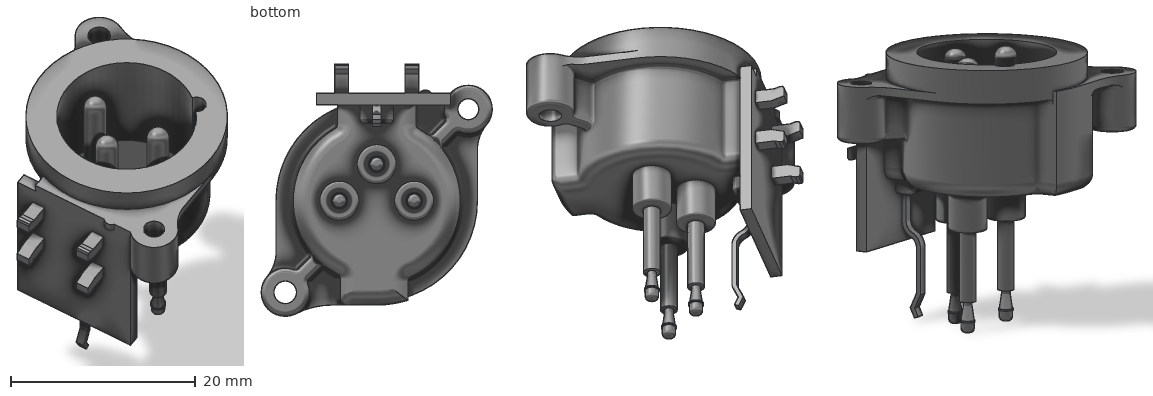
import cadquery as cq
import math


TOTAL_HEIGHT = 30.2
COLLAR_TOP = 2.75
FLANGE_BOTTOM = -0.95
EAR_BOTTOM = -6.28
BODY_BOTTOM = -11.78
PIN_BOTTOM = COLLAR_TOP - TOTAL_HEIGHT

COLLAR_RADIUS = 10.9
BODY_RADIUS = 9.03
BODY_EDGE_RADIUS = 1.57
SOCKET_RADIUS = 7.55
FLOOR_THICKNESS = BODY_RADIUS - SOCKET_RADIUS
KEYWAY_RADIUS = 1.03
KEYWAY_OFFSET = 5.47

EAR_OFFSET = 9.9
EAR_RADIUS = 2.6
REAR_HOLE_RADIUS = 1.2
FRONT_HOLE_RADIUS = 1.12
FLANGE_REAR = 11.3
FLANGE_REAR_END = 3.38
FLANGE_FRONT = -11.65
FLANGE_FRONT_START = -4.23
SIDE_BLEND_RADIUS = 4.17
REAR_BLEND_RADIUS = 8.35
SMALL_FILLET = 0.5
NUB_RADIUS = 0.8
NUB_CENTRE = (5.25, -11.2)

WEB_WIDTH = 1.57
WEB_INNER_REACH = 8.15

REAR_PAD_START = -3.93
PAD_EDGE_RADIUS = 0.72
PAD_SIDES = [
    (REAR_PAD_START, 1),
    (FLANGE_REAR_END, 1),
    (FLANGE_FRONT_START, -1),
    (-FLANGE_FRONT_START, -1),
]

PLATE_LEFT = -6.52
PLATE_RIGHT = 8.0
PLATE_BACK = -10.4
PLATE_BOTTOM = -18.97
PEG_SPACING = 7.6
PEG_WIDTH = 1.5
PEG_TIP = -14.8
PEG_TOP = -3.0
PEG_HEIGHT = 1.48
PEG_TAPER_START = -13.4
PEG_TAPER_DROP = 0.42
PEG_BARB_HEIGHT = 0.18
PEG_BARB_START = -13.75
PEG_BARB_FLAT = 0.35
PEG_BARB_RAMP = 0.27

PIN_POSITIONS = [(-4.05, 0.0), (4.05, 0.0), (0.0, -3.95)]
PIN_RADIUS = 1.2
PIN_TIP_FLAT = 0.15
BOSS_RADIUS = 2.1
BOSS_BOTTOM = -16.15
BOSS_FILLET = 0.3
SHANK_RADIUS = 0.9
SHANK_BOTTOM = -24.0
NECK_RADIUS = 0.48
NECK_BOTTOM = -24.45
BULB_RADIUS = 0.72
BULB_RING_RADIUS = 0.82
BULB_RING_TOP = -26.1
BULB_RING_BOTTOM = -26.27
BULB_ROUND_START = -26.97

CLIP_WIDTH = 0.97
CLIP_THICKNESS = 0.5
CLIP_UPPER_Y = -10.12
CLIP_LOWER_Y = -8.3
CLIP_BEND_TOP = -16.7
CLIP_BEND_BOTTOM = -19.57
CLIP_LEG_BOTTOM = -24.58
CLIP_KNEE = (-9.05, -26.18)
CLIP_END = (-8.58, -27.18)
BLOCK_BOTTOM = -13.55
BLOCK_BACK = -8.35
BLOCK_WIDTH = 3.62


def prism(outline, bottom, top):
    """Extrude an outline drawn on the XY plane between two levels."""
    return outline.extrude(top - bottom).translate((0, 0, bottom))


def cylinder(radius, bottom, top, centre=(0, 0)):
    return prism(cq.Workplane("XY").center(*centre).circle(radius), bottom, top)


def block(x_range, y_range, z_range):
    size = [high - low for low, high in (x_range, y_range, z_range)]
    return cq.Workplane("XY").box(*size, centered=False).translate((x_range[0], y_range[0], z_range[0]))


def towards(start, end, distance):
    """Point at a given distance from start on the line to end."""
    length = math.dist(start, end)
    return tuple(a + (b - a) * distance / length for a, b in zip(start, end))


def opposite(point):
    """Half turn of a plan point about the axis."""
    return (-point[0], -point[1])


def diagonal_point(reach, across):
    """Plan point at a distance along the rear ear's diagonal and to its right."""
    return ((across - reach) * math.sqrt(0.5), (across + reach) * math.sqrt(0.5))


def nearest(plan_point, level):
    return cq.selectors.NearestToPointSelector((*plan_point, level))


EAR_DIAGONAL = EAR_RADIUS * math.sqrt(0.5)
EAR_DISTANCE = EAR_OFFSET * math.sqrt(2)
EAR_CENTRE = (-EAR_OFFSET, EAR_OFFSET)
EAR_TIP = (-EAR_OFFSET - EAR_DIAGONAL, EAR_OFFSET + EAR_DIAGONAL)
SIDE_BLEND_X = -COLLAR_RADIUS - SIDE_BLEND_RADIUS
SIDE_BLEND_DROP = math.sqrt((EAR_RADIUS + SIDE_BLEND_RADIUS) ** 2 - (SIDE_BLEND_X + EAR_OFFSET) ** 2)
SIDE_BLEND_CENTRE = (SIDE_BLEND_X, EAR_OFFSET - SIDE_BLEND_DROP)
SIDE_TOUCH = towards(EAR_CENTRE, SIDE_BLEND_CENTRE, EAR_RADIUS)
REAR_BLEND_Y = FLANGE_REAR + REAR_BLEND_RADIUS
REAR_BLEND_RUN = math.sqrt((EAR_RADIUS + REAR_BLEND_RADIUS) ** 2 - (REAR_BLEND_Y - EAR_OFFSET) ** 2)
REAR_BLEND_CENTRE = (-EAR_OFFSET + REAR_BLEND_RUN, REAR_BLEND_Y)
REAR_TOUCH = towards(EAR_CENTRE, REAR_BLEND_CENTRE, EAR_RADIUS)
FLANGE_REAR_END_Y = math.sqrt(FLANGE_REAR**2 - FLANGE_REAR_END**2)


def flange(bottom):
    """Plate with two diagonal ears, straight edges and concave blends into the ears."""
    ear_corner_run = math.sqrt(EAR_RADIUS**2 - (FLANGE_FRONT + EAR_OFFSET) ** 2)
    outline = (
        cq.Workplane("XY")
        .moveTo(-COLLAR_RADIUS, 0)
        .lineTo(-COLLAR_RADIUS, SIDE_BLEND_CENTRE[1])
        .tangentArcPoint(SIDE_TOUCH, relative=False)
        .threePointArc(EAR_TIP, REAR_TOUCH)
        .tangentArcPoint((REAR_BLEND_CENTRE[0], FLANGE_REAR), relative=False)
        .lineTo(0, FLANGE_REAR)
        .tangentArcPoint((FLANGE_REAR_END, FLANGE_REAR_END_Y), relative=False)
        .lineTo(FLANGE_REAR_END, 0)
        .lineTo(COLLAR_RADIUS, 0)
        .lineTo(COLLAR_RADIUS, -SIDE_BLEND_CENTRE[1])
        .tangentArcPoint(opposite(SIDE_TOUCH), relative=False)
        .threePointArc(opposite(EAR_TIP), (EAR_OFFSET - ear_corner_run, FLANGE_FRONT))
        .lineTo(FLANGE_FRONT_START, FLANGE_FRONT)
        .lineTo(FLANGE_FRONT_START, 0)
        .close()
    )
    return prism(outline, bottom, 0)


def rear_ear_boss():
    """Round boss under the rear ear with a diagonal web that reaches into the body."""
    half_web = WEB_WIDTH / 2
    joint_reach = EAR_DISTANCE - math.sqrt(EAR_RADIUS**2 - half_web**2)
    left_joint = diagonal_point(joint_reach, -half_web)
    right_joint = diagonal_point(joint_reach, half_web)
    outline = (
        cq.Workplane("XY")
        .moveTo(*SIDE_TOUCH)
        .threePointArc(EAR_TIP, REAR_TOUCH)
        .threePointArc((-EAR_OFFSET + EAR_RADIUS, EAR_OFFSET), right_joint)
        .lineTo(*diagonal_point(WEB_INNER_REACH, half_web))
        .lineTo(*diagonal_point(WEB_INNER_REACH, -half_web))
        .lineTo(*left_joint)
        .threePointArc((-EAR_OFFSET, EAR_OFFSET - EAR_RADIUS), SIDE_TOUCH)
        .close()
    )
    boss = prism(outline, EAR_BOTTOM, FLANGE_BOTTOM)
    for joint in (left_joint, right_joint):
        boss = boss.edges(nearest(joint, EAR_BOTTOM / 2)).fillet(SMALL_FILLET)
    return boss.faces("<Z").edges("not(>X)").fillet(SMALL_FILLET)


def body():
    """Cup with flat pads at the rear and front, rounded along its bottom edge."""
    rear_pad = (
        cq.Workplane("XY")
        .moveTo(REAR_PAD_START, 0)
        .lineTo(REAR_PAD_START, FLANGE_REAR)
        .lineTo(0, FLANGE_REAR)
        .tangentArcPoint((FLANGE_REAR_END, FLANGE_REAR_END_Y), relative=False)
        .lineTo(FLANGE_REAR_END, 0)
        .close()
    )
    front_pad = block(
        (FLANGE_FRONT_START, -FLANGE_FRONT_START), (PLATE_BACK, 0), (BODY_BOTTOM, FLANGE_BOTTOM)
    )
    cup = cylinder(BODY_RADIUS, BODY_BOTTOM, FLANGE_BOTTOM)
    cup = cup.union(prism(rear_pad, BODY_BOTTOM, FLANGE_BOTTOM)).union(front_pad)
    cup = cup.edges(nearest((REAR_PAD_START, FLANGE_REAR), BODY_BOTTOM / 2)).fillet(PAD_EDGE_RADIUS)
    for pad_side, direction in PAD_SIDES:
        joint = (pad_side, direction * math.sqrt(BODY_RADIUS**2 - pad_side**2))
        cup = cup.edges(nearest(joint, BODY_BOTTOM / 2)).fillet(SMALL_FILLET)
    return cup.faces("<Z").edges("not <Y").fillet(BODY_EDGE_RADIUS)


def web_joint_zone(side):
    """Selects the edges where one web meets the cup; side is 1 at the rear, -1 at the front."""
    inner = side * BODY_RADIUS * math.sqrt(0.5) - side * WEB_WIDTH / 2
    outer = inner + side * WEB_WIDTH
    return cq.selectors.BoxSelector(
        (-inner, inner, EAR_BOTTOM - SMALL_FILLET),
        (-outer, outer, FLANGE_BOTTOM - SMALL_FILLET),
    )


def cup_with_ears():
    """Cup and ear bosses, all blended into each other and into the underside of the flange."""
    rear_ear = rear_ear_boss()
    cup = body().union(rear_ear).union(rear_ear.rotate((0, 0, 0), (0, 0, 1), 180))
    for side in (1, -1):
        cup = cup.edges(web_joint_zone(side)).fillet(SMALL_FILLET)

    slab = (-2 * EAR_OFFSET, 2 * EAR_OFFSET)
    blended = cup.union(block(slab, slab, (FLANGE_BOTTOM, 0)))
    underside = blended.faces(nearest((0, 0), FLANGE_BOTTOM))
    blended = underside.edges("not (<X or >X or <Y or >Y)").fillet(SMALL_FILLET)
    limit = flange(BODY_BOTTOM).union(cylinder(COLLAR_RADIUS, BODY_BOTTOM, 0))
    return blended.intersect(limit)


def peg_profile():
    """Upper peg seen from the side: tapered below and barbed above at its tip."""
    peg_bottom = PEG_TOP - PEG_HEIGHT
    barb_top = PEG_TOP + PEG_BARB_HEIGHT
    barb_flat_start = PEG_BARB_START - PEG_BARB_RAMP * 2
    return cq.Workplane("YZ").polyline([
        (FLANGE_FRONT, PEG_TOP),
        (PEG_BARB_START, PEG_TOP),
        (barb_flat_start, barb_top),
        (barb_flat_start - PEG_BARB_FLAT, barb_top),
        (PEG_TIP, PEG_TOP),
        (PEG_TIP, peg_bottom + PEG_TAPER_DROP),
        (PEG_TAPER_START, peg_bottom),
        (FLANGE_FRONT, peg_bottom),
    ]).close()


def front_plate():
    """Upright plate carrying two pairs of mirrored pegs."""
    plate = block((PLATE_LEFT, PLATE_RIGHT), (FLANGE_FRONT, PLATE_BACK), (PLATE_BOTTOM, FLANGE_BOTTOM))
    peg = peg_profile().extrude(PEG_WIDTH / 2, both=True)
    lower_peg = peg.mirror("XY", (0, 0, EAR_BOTTOM))
    for x in (-PEG_SPACING / 2, PEG_SPACING / 2):
        plate = plate.union(peg.translate((x, 0, 0)))
        plate = plate.union(lower_peg.translate((x, 0, 0)))
    return plate


def pin(position):
    """Contact pin: domed end in the socket, boss under the body, shank and bulb-shaped tail."""
    dome_radius = PIN_RADIUS - PIN_TIP_FLAT
    dome_mid = dome_radius * math.sqrt(0.5)
    profile = (
        cq.Workplane("XZ")
        .moveTo(0, COLLAR_TOP)
        .lineTo(PIN_TIP_FLAT, COLLAR_TOP)
        .threePointArc(
            (PIN_TIP_FLAT + dome_mid, COLLAR_TOP - dome_radius + dome_mid),
            (PIN_RADIUS, COLLAR_TOP - dome_radius),
        )
        .lineTo(PIN_RADIUS, BODY_BOTTOM)
        .lineTo(SHANK_RADIUS, BODY_BOTTOM)
        .lineTo(SHANK_RADIUS, SHANK_BOTTOM)
        .lineTo(NECK_RADIUS, SHANK_BOTTOM)
        .lineTo(NECK_RADIUS, NECK_BOTTOM)
        .lineTo(BULB_RADIUS, BULB_RING_TOP)
        .lineTo(BULB_RING_RADIUS, BULB_RING_TOP)
        .lineTo(BULB_RING_RADIUS, BULB_RING_BOTTOM)
        .lineTo(BULB_RADIUS, BULB_RING_BOTTOM)
        .lineTo(BULB_RADIUS, BULB_ROUND_START)
        .tangentArcPoint((NECK_RADIUS / 2, PIN_BOTTOM), relative=False)
        .lineTo(0, PIN_BOTTOM)
        .close()
    )
    boss = cylinder(BOSS_RADIUS, BOSS_BOTTOM, BODY_BOTTOM + FLOOR_THICKNESS)
    boss = boss.faces("<Z").edges().fillet(BOSS_FILLET)
    return profile.revolve().union(boss).translate((*position, 0))


def ground_clip():
    """Bent spring strip hanging from a small block under the body."""
    bend_middle = ((CLIP_UPPER_Y + CLIP_LOWER_Y) / 2, (CLIP_BEND_TOP + CLIP_BEND_BOTTOM) / 2)
    path = (
        cq.Workplane("YZ")
        .moveTo(CLIP_UPPER_Y, BODY_BOTTOM)
        .lineTo(CLIP_UPPER_Y, CLIP_BEND_TOP)
        .tangentArcPoint(bend_middle, relative=False)
        .tangentArcPoint((CLIP_LOWER_Y, CLIP_BEND_BOTTOM), relative=False)
        .lineTo(CLIP_LOWER_Y, CLIP_LEG_BOTTOM)
        .lineTo(*CLIP_KNEE)
        .lineTo(*CLIP_END)
    )
    strip = (
        cq.Workplane("XY", origin=(0, CLIP_UPPER_Y, BODY_BOTTOM))
        .rect(CLIP_WIDTH, CLIP_THICKNESS)
        .sweep(path, transition="right")
    )
    holder = block(
        (-BLOCK_WIDTH / 2, BLOCK_WIDTH / 2),
        (PLATE_BACK, BLOCK_BACK),
        (BLOCK_BOTTOM, BODY_BOTTOM + BODY_EDGE_RADIUS),
    )
    holder = holder.edges("<Z or >Y").edges("not >Z").edges("not <Y").fillet(SMALL_FILLET)
    return strip.union(holder)


def socket():
    """Round cavity with a keyway along its wall."""
    floor = BODY_BOTTOM + FLOOR_THICKNESS
    bore = cylinder(SOCKET_RADIUS, floor, COLLAR_TOP)
    return bore.union(cylinder(KEYWAY_RADIUS, floor, COLLAR_TOP, (KEYWAY_OFFSET, KEYWAY_OFFSET)))


shell = cup_with_ears().union(flange(FLANGE_BOTTOM))
shell = shell.union(cylinder(NUB_RADIUS, FLANGE_BOTTOM, 0, NUB_CENTRE))
shell = shell.union(cylinder(COLLAR_RADIUS, FLANGE_BOTTOM, COLLAR_TOP))
shell = shell.union(front_plate())
shell = shell.union(ground_clip())
shell = shell.cut(socket())
shell = shell.cut(cylinder(REAR_HOLE_RADIUS, EAR_BOTTOM, 0, (-EAR_OFFSET, EAR_OFFSET)))
shell = shell.cut(cylinder(FRONT_HOLE_RADIUS, EAR_BOTTOM, 0, (EAR_OFFSET, -EAR_OFFSET)))
for pin_position in PIN_POSITIONS:
    shell = shell.union(pin(pin_position))

result = shell